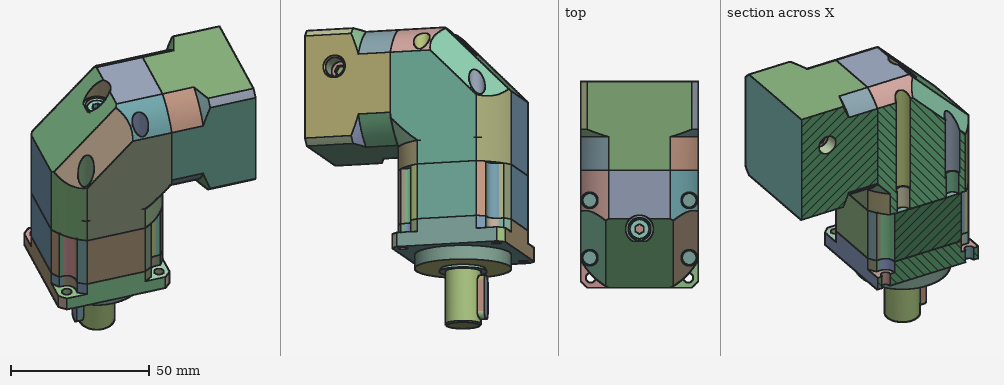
import cadquery as cq
import math


width = 42.5
half_width = width / 2
body_radius = 24.0
flange_radius = 28.4

collar_bottom = 19.9
pilot_bottom = 21.0
plate_bottom = 26.0
plate_top = 31.2
flange_top = 35.9
ring_top = 56.0
flare_bottom = 64.8
flare_height = 9.1
total_height = 108.0
input_height = total_height - half_width

shaft_diameter = 13.0
shaft_chamfer = 0.5
collar_radius = 8.6
collar_taper = 0.6
key_width = 5.0
key_length = 16.2
key_bottom = 1.9
key_reach = 8.6

pilot_diameter = 35.0
bolt_offset = 17.6
bolt_diameter = 3.5
relief_radius = 3.5

bevel_leg = 25.0
bevel_side_chamfer = 9.1
screw_circle_radius = 20.7
screw_angle = 30.0
screw_head_diameter = 5.8
screw_hole_diameter = 5.1
screw_seat_height = 64.8
plug_bore_diameter = 10.0
plug_seat_height = 99.9
plug_hex_flats = 3.1

adapter_end = 53.4
neck_end = 33.3
shoulder_start = 36.0
clamp_y = 42.3
clamp_above_axis = 7.0
clamp_depth = 8.6
clamp_hex_flats = 4.0

socket_hole_radius = 3.5
socket_hole_chamfer = 0.6
socket_depth = 2.2


def upright_block(bottom, top):
    """Square block centred on the output axis."""
    return cq.Workplane("XY", origin=(0, 0, bottom)).rect(width, width).extrude(top - bottom)


def upright_cylinder(radius, bottom, top, x=0, y=0):
    """Cylinder with its axis along Z."""
    return cq.Workplane("XY", origin=(x, y, bottom)).circle(radius).extrude(top - bottom)


def rounded_section(radius, bottom, top):
    """Square block with its four corners turned to a radius."""
    return upright_block(bottom, top).intersect(upright_cylinder(radius, bottom, top))


def cut_bolt_reliefs(body, bottom, top):
    """Recess the four corners above the flange bolts; each recess has one rounded inner corner."""
    inner = bolt_offset - relief_radius
    relief = (
        cq.Workplane("XY", origin=(inner, inner, bottom))
        .rect(half_width, half_width, centered=False)
        .extrude(top - bottom)
        .edges("|Z and <X and <Y")
        .fillet(relief_radius)
    )
    for angle in (0, 90, 180, 270):
        body = body.cut(relief.rotate((0, 0, 0), (0, 0, 1), angle))
    return body


def socket_cutter(flats, hole_depth):
    """Chamfered hole ending in a hexagon socket, cut down from the XY plane at the origin."""
    hole = (
        cq.Workplane("XY")
        .circle(socket_hole_radius + socket_hole_chamfer)
        .workplane(offset=-socket_hole_chamfer)
        .circle(socket_hole_radius)
        .loft(ruled=True)
    )
    if hole_depth > socket_hole_chamfer:
        hole = hole.union(cq.Workplane("XY").circle(socket_hole_radius).extrude(-hole_depth))
    corner_diameter = flats / math.cos(math.radians(30))
    hexagon = (
        cq.Workplane("XY", origin=(0, 0, -hole_depth))
        .transformed(rotate=(0, 0, 90))
        .polygon(6, corner_diameter)
        .extrude(-socket_depth)
    )
    return hole.union(hexagon)


def make_output_shaft():
    """Shaft with a tapered collar against the pilot and a round-ended key facing -Y."""
    shaft = upright_cylinder(shaft_diameter / 2, 0, pilot_bottom).faces("<Z").chamfer(shaft_chamfer)
    collar = (
        cq.Workplane("XY", origin=(0, 0, collar_bottom))
        .circle(collar_radius)
        .workplane(offset=pilot_bottom - collar_bottom)
        .circle(collar_radius - collar_taper)
        .loft(ruled=True)
    )
    key = (
        cq.Workplane("XZ", origin=(0, 0, key_bottom + key_length / 2))
        .slot2D(key_length, key_width, 90)
        .extrude(key_reach)
    )
    return shaft.union(collar).union(key)


def make_output_flange():
    """Square bolting plate with a centring pilot below and a relieved neck above."""
    pilot = upright_cylinder(pilot_diameter / 2, pilot_bottom, plate_bottom)
    plate = rounded_section(flange_radius, plate_bottom, plate_top)
    neck = cut_bolt_reliefs(rounded_section(body_radius, plate_top, flange_top), plate_top, flange_top)
    bolt_holes = (
        cq.Workplane("XY", origin=(0, 0, plate_bottom))
        .rect(2 * bolt_offset, 2 * bolt_offset, forConstruction=True)
        .vertices()
        .circle(bolt_diameter / 2)
        .extrude(plate_top - plate_bottom)
    )
    return plate.cut(bolt_holes).union(neck).union(pilot)


def make_ring_gear_housing():
    """Middle section, relieved at the corners above the flange bolts."""
    section = rounded_section(body_radius, flange_top, ring_top)
    return cut_bolt_reliefs(section, flange_top, ring_top)


def elbow_column_envelope():
    """Turned envelope of the upright leg: straight on the -Y side, flared to full corners on +Y."""
    straight = upright_cylinder(body_radius, ring_top, total_height)
    flare_slope = (half_width * math.sqrt(2) - body_radius) / flare_height
    flare_top_radius = body_radius + flare_slope * (total_height - flare_bottom)
    flared = (
        cq.Workplane("XZ")
        .polyline([
            (0, ring_top),
            (body_radius, ring_top),
            (body_radius, flare_bottom),
            (flare_top_radius, total_height),
            (0, total_height),
        ])
        .close()
        .revolve(360, (0, 0, 0), (0, 1, 0))
    )
    inner_side = cq.Workplane("XY", origin=(-width, 0, 0)).box(
        2 * width, 2 * width, total_height, centered=False
    )
    return straight.union(flared.intersect(inner_side))


def elbow_arm_envelope():
    """Envelope of the horizontal leg: turned above the input axis, square below it."""
    arm = (
        cq.Workplane("XZ", origin=(0, -half_width, input_height))
        .circle(body_radius)
        .extrude(-width)
    )
    return arm.union(upright_block(ring_top, input_height))


def make_elbow_housing():
    """Housing that turns the drive through a right angle, bevelled on the outside of the bend."""
    elbow = (
        cq.Workplane("YZ", origin=(-half_width, 0, 0))
        .polyline([
            (-half_width, ring_top),
            (half_width, ring_top),
            (half_width, total_height),
            (bevel_leg - half_width, total_height),
            (-half_width, total_height - bevel_leg),
        ])
        .close()
        .extrude(width)
    )
    elbow = elbow.edges(cq.selectors.ParallelDirSelector(cq.Vector(0, 1, 1))).chamfer(bevel_side_chamfer)
    elbow = elbow.intersect(elbow_column_envelope()).intersect(elbow_arm_envelope())

    screw_x = screw_circle_radius * math.cos(math.radians(screw_angle))
    screw_y = screw_circle_radius * math.sin(math.radians(screw_angle))
    for x in (-screw_x, screw_x):
        for y in (-screw_y, screw_y):
            hole = upright_cylinder(screw_hole_diameter / 2, ring_top, screw_seat_height, x, y)
            counterbore = upright_cylinder(screw_head_diameter / 2, screw_seat_height, total_height, x, y)
            elbow = elbow.cut(hole).cut(counterbore)

    plug_bore = upright_cylinder(plug_bore_diameter / 2, plug_seat_height, total_height)
    plug_socket = socket_cutter(plug_hex_flats, socket_hole_chamfer).translate((0, 0, plug_seat_height))
    return elbow.cut(plug_bore).cut(plug_socket)


def make_motor_adapter():
    """Square motor end with a turned neck that meets the elbow, and a clamp screw hole on -X."""
    adapter = (
        cq.Workplane("XZ", origin=(0, half_width, input_height))
        .rect(width, width)
        .extrude(half_width - adapter_end)
    )
    envelope = (
        cq.Workplane("XY")
        .polyline([
            (0, half_width),
            (body_radius, half_width),
            (body_radius, neck_end),
            (flange_radius, shoulder_start),
            (flange_radius, adapter_end),
            (0, adapter_end),
        ])
        .close()
        .revolve(360, (0, 0, 0), (0, 1, 0))
        .translate((0, 0, input_height))
    )
    clamp_socket = (
        socket_cutter(clamp_hex_flats, clamp_depth)
        .rotate((0, 0, 0), (0, 1, 0), -90)
        .translate((-half_width, clamp_y, input_height + clamp_above_axis))
    )
    return adapter.intersect(envelope).cut(clamp_socket)


output_shaft = make_output_shaft()
output_flange = make_output_flange()
ring_gear_housing = make_ring_gear_housing()
elbow_housing = make_elbow_housing()
motor_adapter = make_motor_adapter()

result = cq.Compound.makeCompound([
    output_shaft.val(),
    output_flange.val(),
    ring_gear_housing.val(),
    elbow_housing.val(),
    motor_adapter.val(),
])